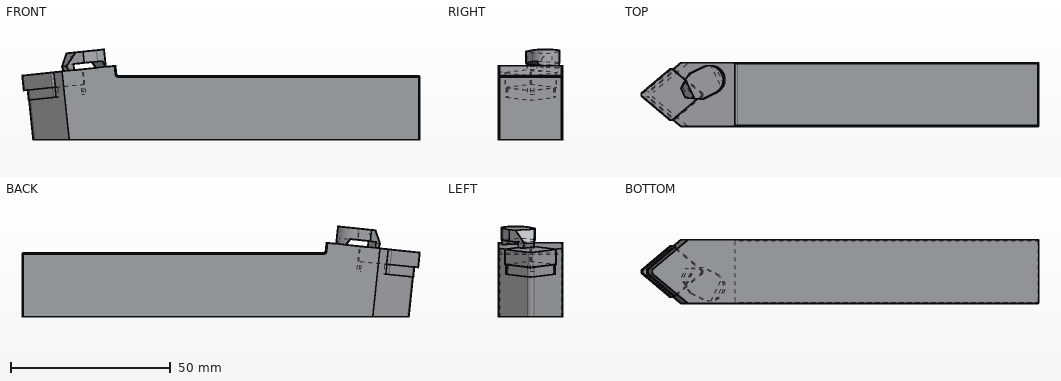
import cadquery as cq
import math

length = 124.5
width = 20.0
height = 20.0
edge_chamfer = 0.4

tilt = 6.0
nose_height = 20.2
head_length = 29.3
step_fillet = 0.6
flank_tip = 0.6
flank_radius = 1.2

nose_half_angle = 40.0
inscribed_diameter = 12.7
nose_radius = 0.8
insert_thickness = 4.7

shim_inscribed_diameter = 12.0
shim_thickness = 3.1
shim_proud = 0.06

clamp_x = 21.9
clamp_y = 4.6
clamp_angle = 26.0
clamp_height = 5.5
clamp_radius = 4.5
shoulder_reach = 4.6
toe_reach = 9.5
toe_half_width = 1.6
slope_start = 6.6
toe_face_height = 1.5
toe_undercut = 0.5
gap_front = 7.5
gap_back_top = 2.1
gap_back_bottom = 3.1
gap_height = 1.9

tilt_cos = math.cos(math.radians(tilt))
tilt_sin = math.sin(math.radians(tilt))
tilt_tan = math.tan(math.radians(tilt))
nose_sin = math.sin(math.radians(nose_half_angle))
nose_cos = math.cos(math.radians(nose_half_angle))
nose_tan = math.tan(math.radians(nose_half_angle))
half_width = width / 2
insert_tip = -nose_radius * (1 / nose_sin - 1)
shim_tip = flank_tip - shim_proud / nose_sin

head_plane = cq.Plane(origin=(0, 0, nose_height), xDir=(tilt_cos, 0, tilt_sin), normal=(-tilt_sin, 0, tilt_cos))


def rhombus_prism(tip, diameter, depth):
    """Sharp-cornered rhombus around an inscribed circle, from the head plane downwards."""
    half_long = diameter / (2 * nose_sin)
    half_short = diameter / (2 * nose_cos)
    points = [
        (tip, 0),
        (tip + half_long, -half_short),
        (tip + 2 * half_long, 0),
        (tip + half_long, half_short),
    ]
    return cq.Workplane(head_plane).polyline(points).close().extrude(-depth)


def round_corners(prism, radius):
    """Round the edges that run along the head normal."""
    return prism.edges(cq.selectors.ParallelDirSelector(head_plane.zDir)).fillet(radius)


def make_shank():
    """Side outline with the raised head and a step down to the shank."""
    head_top = nose_height + head_length * tilt_tan
    step_foot = head_length + (head_top - height) * tilt_tan
    nose_overrun = 2.5
    outline = [
        (-nose_overrun, 0),
        (length, 0),
        (length, height),
        (step_foot, height),
        (head_length, head_top),
        (-nose_overrun, nose_height - nose_overrun * tilt_tan),
    ]
    body = cq.Workplane("XZ").polyline(outline).close().extrude(half_width, both=True)
    foot_point = (step_foot, 0, height)
    body = body.edges(cq.selectors.NearestToPointSelector(foot_point)).fillet(step_fillet)
    shank_middle = (step_foot + length) / 2
    for side in (-half_width, half_width):
        long_edge = cq.selectors.NearestToPointSelector((shank_middle, side, height))
        body = body.edges(long_edge).chamfer(edge_chamfer)
    end_edges = body.faces(">X").edges("not <Z")
    return end_edges.chamfer(edge_chamfer)


def make_flank_prism():
    """Plan outline of the pointed head with its rounded nose."""
    flank_end = flank_tip + half_width / nose_tan
    far_end = 2 * length
    outline = [
        (flank_tip, 0),
        (flank_end, -half_width),
        (far_end, -half_width),
        (far_end, half_width),
        (flank_end, half_width),
    ]
    prism = cq.Workplane(head_plane).polyline(outline).close().extrude(length, both=True)
    nose_edge = cq.selectors.NearestToPointSelector(head_plane.toWorldCoords((flank_tip, 0, 0)))
    return prism.edges(nose_edge).fillet(flank_radius)


def make_shim_pocket():
    """Sharp-cornered pocket that leaves small notches beside the rounded shim."""
    return rhombus_prism(shim_tip, shim_inscribed_diameter, insert_thickness + shim_thickness)


def make_shim():
    """Rounded support plate, reaching up to the head plane until the insert seat is cut."""
    return round_corners(make_shim_pocket(), flank_radius)


def make_clamp():
    """Clamp finger: rounded heel, tapered toe and a gap underneath."""
    direction = math.radians(clamp_angle)
    base = cq.Plane(
        origin=head_plane.toWorldCoords((clamp_x, clamp_y, 0)),
        xDir=head_plane.xDir * math.cos(direction) + head_plane.yDir * math.sin(direction),
        normal=head_plane.zDir,
    )
    plan = (
        cq.Workplane(base)
        .moveTo(-toe_reach, -toe_half_width)
        .lineTo(-shoulder_reach, -clamp_radius)
        .lineTo(0, -clamp_radius)
        .threePointArc((clamp_radius, 0), (0, clamp_radius))
        .lineTo(-shoulder_reach, clamp_radius)
        .lineTo(-toe_reach, toe_half_width)
        .close()
        .extrude(clamp_height)
    )
    side_outline = [
        (-toe_reach + toe_undercut, 0),
        (-toe_reach, toe_face_height),
        (-slope_start, clamp_height),
        (clamp_radius, clamp_height),
        (clamp_radius, 0),
        (gap_back_bottom, 0),
        (gap_back_top, gap_height),
        (-gap_front, gap_height),
        (-gap_front, 0),
    ]
    side_plane = cq.Plane(origin=base.origin, xDir=base.xDir, normal=-base.yDir)
    side = cq.Workplane(side_plane).polyline(side_outline).close().extrude(clamp_radius, both=True)
    return plan.intersect(side)


def make_insert():
    """Cutting insert with rounded corners."""
    return round_corners(rhombus_prism(insert_tip, inscribed_diameter, insert_thickness), nose_radius)


def make_holder(insert_body):
    """Tool holder with its insert seat, shim and clamp."""
    body = make_shank().intersect(make_flank_prism())
    body = body.cut(make_shim_pocket()).union(make_shim())
    return body.cut(insert_body).union(make_clamp())


insert = make_insert()
holder = make_holder(insert)

result = cq.Compound.makeCompound([holder.solids().val(), insert.solids().val()])